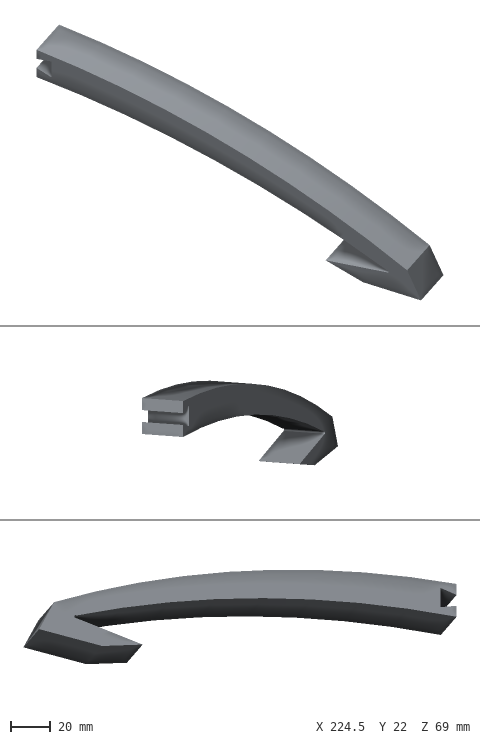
import cadquery as cq
import math

length = 224.5
width = 22.0
height = 69.0

root_depth = 18.5
back_end_x = 216.4
back_drop = 49.0
belly_mid = (124.1, -30.5)
throat_top = (204.5, -54.3)

throat_mid = (205.5, -55.0)
throat_bottom = (205.0, -55.7)
barb_tip = (168.8, -64.2)
heel_x = 190.5
nose_drop = 65.5

slot_depth = 8.8
slot_mouth = 6.0
slot_floor = 10.8


def arm_profile():
    """Side outline of the arm with its hooked tip."""
    back_radius = (back_end_x**2 + back_drop**2) / (2 * back_drop)
    half_angle = math.asin(back_end_x / back_radius) / 2
    back_mid = (
        back_radius * math.sin(half_angle),
        back_radius * (math.cos(half_angle) - 1),
    )
    return (
        cq.Workplane("XZ")
        .moveTo(0, 0)
        .threePointArc(back_mid, (back_end_x, -back_drop))
        .lineTo(length, -nose_drop)
        .lineTo(heel_x, -height)
        .lineTo(*barb_tip)
        .lineTo(*throat_bottom)
        .threePointArc(throat_mid, throat_top)
        .threePointArc(belly_mid, (0, -root_depth))
        .close()
    )


def dovetail_slot():
    """Slot that widens inward, centred on the root face."""
    return (
        cq.Workplane("XZ")
        .center(0, -root_depth / 2)
        .moveTo(0, slot_mouth / 2)
        .lineTo(slot_depth, slot_floor / 2)
        .lineTo(slot_depth, -slot_floor / 2)
        .lineTo(0, -slot_mouth / 2)
        .close()
        .extrude(width / 2, both=True)
    )


arm = arm_profile().extrude(width / 2, both=True)
result = arm.cut(dovetail_slot())